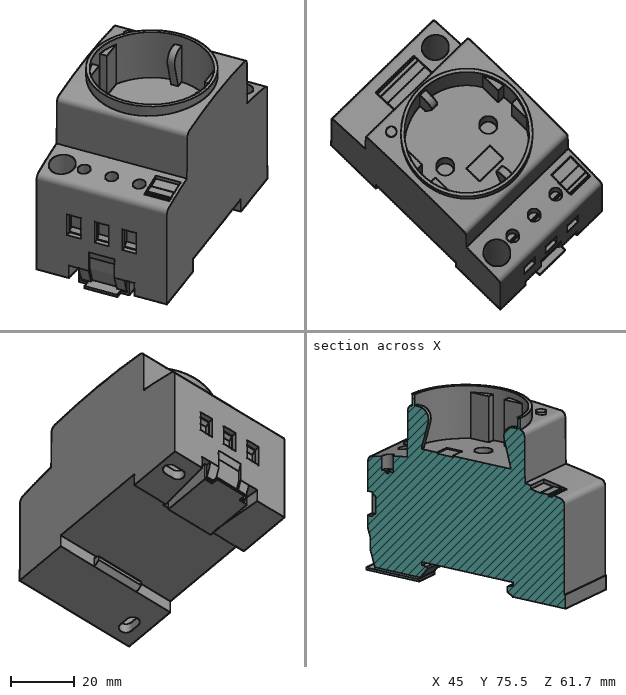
import cadquery as cq
import math


WIDTH = 45.0
FRONT_Y = -37.4
REAR_Y = 37.4
REAR_FOOT_STEP = 0.2
REAR_FOOT_TOP_Z = 4.7
STEP_BASE_Y = 22.4
STEP_TOP_Y = 22.2
SHOULDER_RADIUS = 162.3
SHOULDER_APEX_Z = 40.2
CROWN_RADIUS = 181.15
CROWN_APEX_Z = 57.15
SHOULDER_EDGE_RADIUS = 2.1
CROWN_EDGE_RADIUS = 2.0

RAIL_FRONT_Y = -17.75
RAIL_REAR_Y = 17.7
RAIL_DEPTH = 4.8
HOOK_HALF_WIDTH = 8.7
HOOK_REACH = 2.1
HOOK_LOW_Z = 1.35
HOOK_HIGH_Z = 3.0
HOOK_TOP_Z = 3.8
HOOK_BEVEL_Y = 0.5
HOOK_BEVEL_Z = 0.4

RIM_TOP_Z = 59.8
RIM_RADIUS = 20.6
CUP_RADIUS = 19.5
CUP_DEPTH = 17.4
CUP_FLOOR_Z = RIM_TOP_Z - CUP_DEPTH
KEY_FACE_X = 16.8
KEY_GAP = 5.9
KEY_TOP_Z = 57.6
PIN_SPACING = 19.0
PIN_RADIUS = 2.9
PIN_DEPTH = 7.55
LABEL_SIZE = (10.4, 5.9)
LABEL_Y = -8.0
LABEL_DEPTH = 0.4
EARTH_WIDTH = 2.5
EARTH_NOSE_Y = 17.8
EARTH_NOSE_Z = 52.5
EARTH_NOSE_RADIUS = 3.6
EARTH_SLANT = math.radians(15.4)

LAMP_X = -16.0
LAMP_Y = 17.35
LAMP_RADIUS = 1.65
LAMP_TOP_Z = 57.1

MOUNT_FRONT = (-16.8, -30.2)
MOUNT_REAR = (16.3, 30.2)
MOUNT_BORE_RADIUS = 4.2
MOUNT_FLOOR_Z = 3.8
SLOT_LENGTH = 7.6
SLOT_WIDTH = 4.45

TERMINAL_PITCH = 9.5
SCREW_Y = -29.8
SCREW_RADIUS = 2.05
SCREW_HEAD_Z = 32.45
SCREW_SLOT_WIDTH = 0.6
SCREW_SLOT_DEPTH = 0.75
WINDOW_Z = 20.3
WINDOW_WIDTH = 4.8
WINDOW_HEIGHT = 7.9
WINDOW_MOUTH_DEPTH = 1.65
FUNNEL_WIDTH = 4.6
FUNNEL_HEIGHT = 7.3
FUNNEL_END_HEIGHT = 5.3
FUNNEL_DEPTH = 1.35

MARKER_INNER_Y = 24.6
MARKER_STEP_Y = 28.2
MARKER_GROOVE_Y = 31.25
MARKER_LEDGE_Y = 32.6
MARKER_OUTER_Y = 33.2
MARKER_DEPTH = 1.2
MARKER_SHELF_Z = 36.7
MARKER_GROOVE_Z = 36.1
MARKER_LEDGE_DEPTH = 0.15
FRONT_MARKER_X = (12.8, 21.35)
REAR_MARKER_X = (-7.0, 9.7)

CLIP_FRONT_Y = -35.5
CLIP_REAR_Y = -18.0
CLIP_HALF_WIDTH = 8.7
CLIP_WALL = 0.8
CLIP_BOTTOM_Z = -1.9
CLIP_PLATE = 0.9
CORE_BOTTOM_Z = -0.45
CORE_HALF_WIDTH = CLIP_HALF_WIDTH - CLIP_WALL
CORE_UNDERCUT = 1.7
NOSE_BASE_Y = -17.4
NOSE_TIP = (-14.5, 3.2)
NOSE_SHOULDER = (-14.95, 3.7)
NOSE_NECK_Y = -16.7
NOSE_NECK_Z = 3.9
LEVER_HALF_WIDTH = 5.65
LEVER_TIP_Y = -37.9
CHANNEL_FRONT_HALF_WIDTH = 11.3
CHANNEL_REAR_HALF_WIDTH = 9.5
RECESS_HALF_WIDTH = 4.45
RECESS_TOP_Z = 12.0
RECESS_WALL_TOP_Z = 9.35
RECESS_WALL_LOW_Z = 5.1
RECESS_DEPTH = 0.9
RECESS_UNDERCUT = 1.8


def arch_z(apex_z, radius, y):
    """Height of an arched top surface, centred on Y = 0."""
    return apex_z - radius + math.sqrt(radius**2 - y**2)


def shoulder_z(y):
    return arch_z(SHOULDER_APEX_Z, SHOULDER_RADIUS, y)


def crown_z(y):
    return arch_z(CROWN_APEX_Z, CROWN_RADIUS, y)


def block(x_range, y_range, z_range):
    """Box between the given limits."""
    (x0, x1), (y0, y1), (z0, z1) = x_range, y_range, z_range
    return cq.Workplane("XY").box(x1 - x0, y1 - y0, z1 - z0, centered=False).translate((x0, y0, z0))


def prism(points, x_range):
    """Closed Y-Z polygon extruded along X."""
    x0, x1 = x_range
    return cq.Workplane("YZ").polyline(points).close().extrude(x1 - x0).translate((x0, 0, 0))


def cylinder(x, y, radius, z_low, z_high):
    return cq.Workplane("XY", origin=(x, y, z_low)).circle(radius).extrude(z_high - z_low)


def housing():
    front_mid_y = (FRONT_Y - STEP_BASE_Y) / 2
    rear_mid_y = (REAR_Y + STEP_BASE_Y) / 2
    front_corner = (FRONT_Y, shoulder_z(FRONT_Y))
    rear_corner = (REAR_Y, shoulder_z(REAR_Y))
    crown_front = (-STEP_TOP_Y, crown_z(STEP_TOP_Y))
    crown_rear = (STEP_TOP_Y, crown_z(STEP_TOP_Y))
    step_z = shoulder_z(STEP_BASE_Y)
    body = (
        cq.Workplane("YZ")
        .moveTo(FRONT_Y, 0)
        .lineTo(*front_corner)
        .threePointArc((front_mid_y, shoulder_z(front_mid_y)), (-STEP_BASE_Y, step_z))
        .lineTo(*crown_front)
        .threePointArc((0, CROWN_APEX_Z), crown_rear)
        .lineTo(STEP_BASE_Y, step_z)
        .threePointArc((rear_mid_y, shoulder_z(rear_mid_y)), rear_corner)
        .lineTo(REAR_Y, REAR_FOOT_TOP_Z)
        .lineTo(REAR_Y + REAR_FOOT_STEP, REAR_FOOT_TOP_Z)
        .lineTo(REAR_Y + REAR_FOOT_STEP, 0)
        .lineTo(RAIL_REAR_Y, 0)
        .lineTo(RAIL_REAR_Y, RAIL_DEPTH)
        .lineTo(RAIL_FRONT_Y, RAIL_DEPTH)
        .lineTo(RAIL_FRONT_Y, 0)
        .close()
        .extrude(WIDTH / 2, both=True)
    )
    rounded_edges = [
        (front_corner, SHOULDER_EDGE_RADIUS),
        (rear_corner, SHOULDER_EDGE_RADIUS),
        (crown_front, CROWN_EDGE_RADIUS),
        (crown_rear, CROWN_EDGE_RADIUS),
    ]
    for (y, z), radius in rounded_edges:
        body = body.edges(cq.NearestToPointSelector((0, y, z))).fillet(radius)
    return body


def rail_hook():
    """Fixed hook on the rear wall of the rail groove."""
    tip_y = RAIL_REAR_Y - HOOK_REACH
    points = [
        (RAIL_REAR_Y, 0),
        (tip_y, HOOK_LOW_Z),
        (tip_y, HOOK_HIGH_Z),
        (tip_y + HOOK_BEVEL_Y, HOOK_HIGH_Z + HOOK_BEVEL_Z),
        (RAIL_REAR_Y, HOOK_TOP_Z),
    ]
    return prism(points, (-HOOK_HALF_WIDTH, HOOK_HALF_WIDTH))


def socket_keys():
    """Four guide keys on the sides of the cup, beside the pin axis."""
    height = KEY_TOP_Z - CUP_FLOOR_Z
    wall_radius = (CUP_RADIUS + RIM_RADIUS) / 2
    floor = cq.Workplane("XY", origin=(0, 0, CUP_FLOOR_Z))
    cup = floor.circle(wall_radius).extrude(height)
    middle = floor.rect(2 * KEY_FACE_X, 2 * RIM_RADIUS).extrude(height)
    gap = floor.rect(2 * RIM_RADIUS, KEY_GAP).extrude(height)
    return cup.cut(middle).cut(gap)


def earth_contact():
    """Rear earth contact: flat top, rounded nose and a slant back to the cup floor."""
    wall_y = (CUP_RADIUS + RIM_RADIUS) / 2
    top_z = EARTH_NOSE_Z + EARTH_NOSE_RADIUS
    mid_angle = math.pi / 4
    slant_y = EARTH_NOSE_Y - EARTH_NOSE_RADIUS * math.cos(EARTH_SLANT)
    slant_z = EARTH_NOSE_Z - EARTH_NOSE_RADIUS * math.sin(EARTH_SLANT)
    foot_y = slant_y + (slant_z - CUP_FLOOR_Z) * math.tan(EARTH_SLANT)
    nose_mid = (
        EARTH_NOSE_Y - EARTH_NOSE_RADIUS * math.cos(mid_angle),
        EARTH_NOSE_Z + EARTH_NOSE_RADIUS * math.sin(mid_angle),
    )
    return (
        cq.Workplane("YZ")
        .moveTo(wall_y, CUP_FLOOR_Z)
        .lineTo(wall_y, top_z)
        .lineTo(EARTH_NOSE_Y, top_z)
        .threePointArc(nose_mid, (slant_y, slant_z))
        .lineTo(foot_y, CUP_FLOOR_Z)
        .close()
        .extrude(EARTH_WIDTH / 2, both=True)
    )


def add_socket(body):
    body = body.union(cylinder(0, 0, RIM_RADIUS, CUP_FLOOR_Z, RIM_TOP_Z))
    body = body.cut(cylinder(0, 0, CUP_RADIUS, CUP_FLOOR_Z, RIM_TOP_Z))
    for side in (-1, 1):
        pin_x = side * PIN_SPACING / 2
        body = body.cut(cylinder(pin_x, 0, PIN_RADIUS, CUP_FLOOR_Z - PIN_DEPTH, CUP_FLOOR_Z))
    label = cq.Workplane("XY", origin=(0, LABEL_Y, CUP_FLOOR_Z)).rect(*LABEL_SIZE).extrude(-LABEL_DEPTH)
    body = body.cut(label)
    contact = earth_contact()
    return body.union(socket_keys()).union(contact).union(contact.mirror("XZ"))


def mounting_hole(center, angle):
    """Deep counterbore over a slot that opens through the foot."""
    bore = cylinder(*center, MOUNT_BORE_RADIUS, MOUNT_FLOOR_Z, SHOULDER_APEX_Z)
    slot = cq.Workplane("XY", origin=(*center, 0)).slot2D(SLOT_LENGTH, SLOT_WIDTH, angle)
    return bore.union(slot.extrude(MOUNT_FLOOR_Z))


def terminal_screw(x):
    """Access hole with a slotted screw head at its bottom."""
    hole = cylinder(x, SCREW_Y, SCREW_RADIUS, SCREW_HEAD_Z, SHOULDER_APEX_Z)
    head = cylinder(x, SCREW_Y, SCREW_RADIUS, SCREW_HEAD_Z - SCREW_SLOT_DEPTH, SCREW_HEAD_Z)
    slot = cq.Workplane("XY", origin=(x, SCREW_Y, SCREW_HEAD_Z)).rect(2 * SCREW_RADIUS, SCREW_SLOT_WIDTH)
    return hole.union(head.intersect(slot.extrude(-SCREW_SLOT_DEPTH)))


def terminal_window(x):
    """Wire entry: straight mouth, then a slightly smaller funnel."""
    funnel_y = FRONT_Y + WINDOW_MOUTH_DEPTH
    end_y = funnel_y + FUNNEL_DEPTH
    mouth = block(
        (x - WINDOW_WIDTH / 2, x + WINDOW_WIDTH / 2),
        (FRONT_Y, funnel_y),
        (WINDOW_Z - WINDOW_HEIGHT / 2, WINDOW_Z + WINDOW_HEIGHT / 2),
    )
    funnel = prism(
        [
            (funnel_y, WINDOW_Z - FUNNEL_HEIGHT / 2),
            (end_y, WINDOW_Z - FUNNEL_END_HEIGHT / 2),
            (end_y, WINDOW_Z + FUNNEL_END_HEIGHT / 2),
            (funnel_y, WINDOW_Z + FUNNEL_HEIGHT / 2),
        ],
        (x - FUNNEL_WIDTH / 2, x + FUNNEL_WIDTH / 2),
    )
    return mouth.union(funnel)


def marker_pocket(x_range, side):
    """Stepped pocket in a shoulder; side is -1 at the front and 1 at the rear."""
    outline = [
        (MARKER_INNER_Y, SHOULDER_APEX_Z),
        (MARKER_INNER_Y, shoulder_z(MARKER_INNER_Y) - MARKER_DEPTH),
        (MARKER_STEP_Y, shoulder_z(MARKER_STEP_Y) - MARKER_DEPTH),
        (MARKER_STEP_Y, MARKER_SHELF_Z),
        (MARKER_GROOVE_Y, MARKER_SHELF_Z),
        (MARKER_GROOVE_Y, MARKER_GROOVE_Z),
        (MARKER_LEDGE_Y, MARKER_GROOVE_Z),
        (MARKER_LEDGE_Y, shoulder_z(MARKER_LEDGE_Y) - MARKER_LEDGE_DEPTH),
        (MARKER_OUTER_Y, shoulder_z(MARKER_OUTER_Y) - MARKER_LEDGE_DEPTH),
        (MARKER_OUTER_Y, SHOULDER_APEX_Z),
    ]
    return prism([(side * y, z) for y, z in outline], x_range)


def clip_channel():
    """Channel under the front foot, narrowing toward the rail groove."""
    return (
        cq.Workplane("XY")
        .polyline([
            (-CHANNEL_FRONT_HALF_WIDTH, FRONT_Y),
            (CHANNEL_FRONT_HALF_WIDTH, FRONT_Y),
            (CHANNEL_REAR_HALF_WIDTH, RAIL_FRONT_Y),
            (-CHANNEL_REAR_HALF_WIDTH, RAIL_FRONT_Y),
        ])
        .close()
        .extrude(RAIL_DEPTH)
    )


def clip_core():
    """Clip body with an undercut front and a nose that reaches into the rail groove."""
    points = [
        (FRONT_Y, RAIL_DEPTH),
        (FRONT_Y + CORE_UNDERCUT, CORE_BOTTOM_Z),
        (NOSE_BASE_Y, CORE_BOTTOM_Z),
        NOSE_TIP,
        NOSE_SHOULDER,
        (NOSE_NECK_Y, NOSE_NECK_Z),
        (NOSE_NECK_Y, RAIL_DEPTH),
    ]
    return prism(points, (-CORE_HALF_WIDTH, CORE_HALF_WIDTH))


def clip_frame():
    """U-shaped frame around the clip body, with the release lever at its front."""
    plate_top_z = CLIP_BOTTOM_Z + CLIP_PLATE
    y_range = (CLIP_FRONT_Y, CLIP_REAR_Y)
    frame = block((-CLIP_HALF_WIDTH, CLIP_HALF_WIDTH), y_range, (CLIP_BOTTOM_Z, RAIL_DEPTH))
    frame = frame.cut(block((-CORE_HALF_WIDTH, CORE_HALF_WIDTH), y_range, (plate_top_z, RAIL_DEPTH)))
    lever = block(
        (-LEVER_HALF_WIDTH, LEVER_HALF_WIDTH), (LEVER_TIP_Y, CLIP_FRONT_Y), (CLIP_BOTTOM_Z, plate_top_z)
    )
    return frame.union(lever)


def finger_recess():
    """Recess in the front wall and clip body, above the lever."""
    wall_y = FRONT_Y + RECESS_DEPTH
    points = [
        (FRONT_Y, RECESS_TOP_Z),
        (wall_y, RECESS_WALL_TOP_Z),
        (wall_y, RECESS_WALL_LOW_Z),
        (wall_y + RECESS_UNDERCUT, CORE_BOTTOM_Z),
        (FRONT_Y, CORE_BOTTOM_Z),
    ]
    return prism(points, (-RECESS_HALF_WIDTH, RECESS_HALF_WIDTH))


result = add_socket(housing()).union(rail_hook())
result = result.union(cylinder(LAMP_X, LAMP_Y, LAMP_RADIUS, CUP_FLOOR_Z, LAMP_TOP_Z))
result = result.cut(mounting_hole(MOUNT_FRONT, 0)).cut(mounting_hole(MOUNT_REAR, 90))
for position in (-1, 0, 1):
    terminal_x = position * TERMINAL_PITCH
    result = result.cut(terminal_screw(terminal_x)).cut(terminal_window(terminal_x))
result = result.cut(marker_pocket(FRONT_MARKER_X, -1)).cut(marker_pocket(REAR_MARKER_X, 1))
result = result.cut(clip_channel()).union(clip_core()).cut(finger_recess()).union(clip_frame())